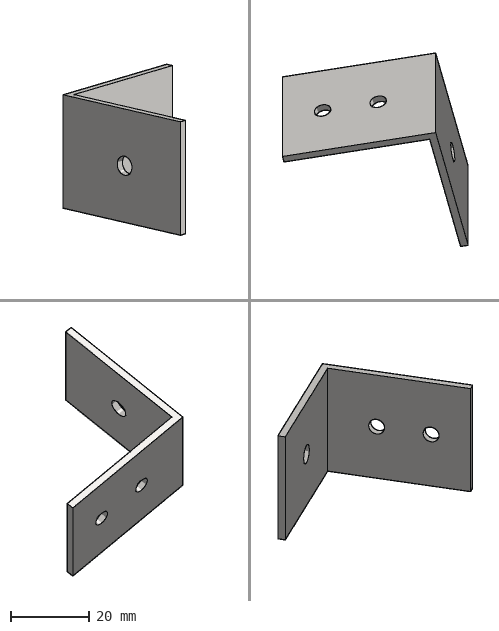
import cadquery as cq

leg_length = 40.0
height = 30.0
thickness = 2.0
mid_height = height / 2

front_hole_diameter = 5.0
front_hole_x = (thickness + leg_length) / 2

side_hole_diameter = 4.2
side_hole_spacing = 14.5
first_side_hole_y = 15.0
side_hole_positions = [first_side_hole_y, first_side_hole_y + side_hole_spacing]


def angle_body():
    """L-shaped body with its outer corner at the origin."""
    x_leg = cq.Workplane("XY").box(leg_length, thickness, height, centered=False)
    y_leg = cq.Workplane("XY").box(thickness, leg_length, height, centered=False)
    return x_leg.union(y_leg)


def front_hole():
    """Cutter along Y through the leg that runs along X."""
    centre = cq.Vector(front_hole_x, 0, mid_height)
    direction = cq.Vector(0, 1, 0)
    return cq.Solid.makeCylinder(front_hole_diameter / 2, thickness, centre, direction)


def side_hole(y):
    """Cutter along X through the leg that runs along Y."""
    centre = cq.Vector(0, y, mid_height)
    direction = cq.Vector(1, 0, 0)
    return cq.Solid.makeCylinder(side_hole_diameter / 2, thickness, centre, direction)


result = angle_body().cut(front_hole())
for hole_y in side_hole_positions:
    result = result.cut(side_hole(hole_y))